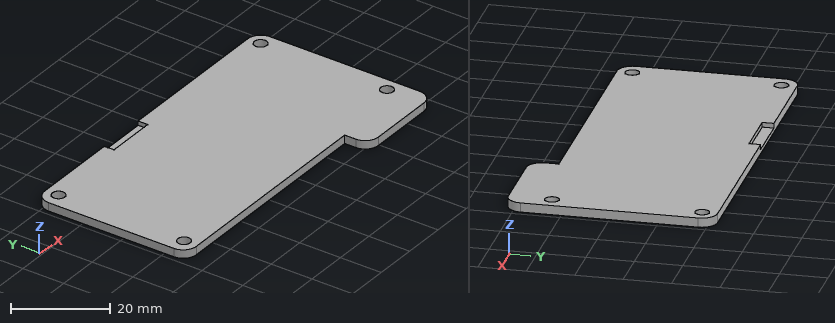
import cadquery as cq

length = 77.95
thickness = 2.0
main_width = 37.25
full_width = 43.25
tab_length = 22.5
corner_radius = 3.3

hole_diameter = 3.0
hole_left_x = 3.6
hole_right_x = length - 3.3
rear_hole_y = -3.2
front_left_hole_y = -34.0
front_right_hole_y = -34.2

recess_start = 24.25
recess_length = 11.85
recess_width = 2.4
recess_depth = 1.0


def make_plate():
    tab_start = length - tab_length
    outline = [
        (0, 0),
        (length, 0),
        (length, -full_width),
        (tab_start, -full_width),
        (tab_start, -main_width),
        (0, -main_width),
    ]
    plate = cq.Workplane("XY").polyline(outline).close().extrude(thickness)
    inside_corner = cq.selectors.NearestToPointSelector((tab_start, -main_width, thickness / 2))
    outside_corners = cq.selectors.SubtractSelector(
        cq.selectors.ParallelDirSelector(cq.Vector(0, 0, 1)), inside_corner
    )
    return plate.edges(outside_corners).fillet(corner_radius)


def make_holes():
    hole_centers = [
        (hole_left_x, rear_hole_y),
        (hole_right_x, rear_hole_y),
        (hole_left_x, front_left_hole_y),
        (hole_right_x, front_right_hole_y),
    ]
    return cq.Workplane("XY").pushPoints(hole_centers).circle(hole_diameter / 2).extrude(thickness)


def make_recess():
    """Shallow recess in the top face, open at the rear edge."""
    return (
        cq.Workplane("XY")
        .box(recess_length, recess_width, recess_depth, centered=False)
        .translate((recess_start, -recess_width, thickness - recess_depth))
    )


result = make_plate().cut(make_holes()).cut(make_recess())